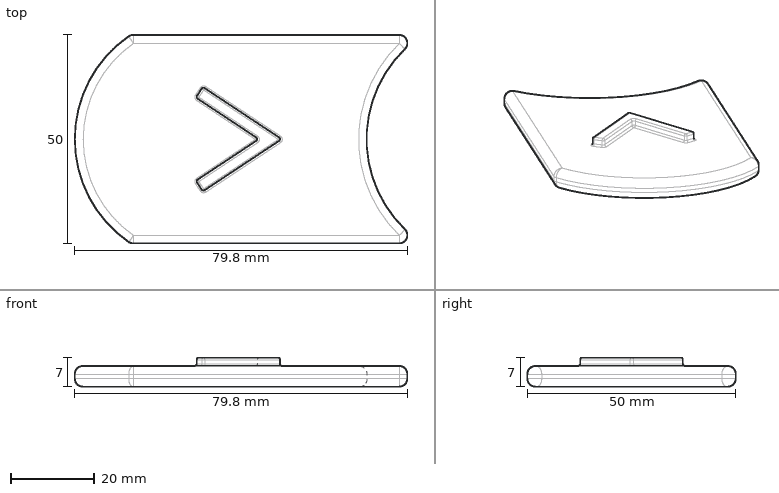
import cadquery as cq
import math

LENGTH = 79.75
WIDTH = 50.0
THICKNESS = 5.0
EDGE_RADIUS = 2.0
END_RADIUS = 30.0

CHEVRON_HEIGHT = 2.0
CHEVRON_TIP_X = 49.6
CHEVRON_ANGLE = 33.5
ARM_LENGTH = 22.65
ARM_WIDTH = 3.0
CHEVRON_FILLET = 0.5


def make_plate():
    """Round the plate by offsetting a sharp-cornered core, then fillet its rims."""
    half_width = WIDTH / 2 - EDGE_RADIUS
    convex_radius = END_RADIUS - EDGE_RADIUS
    concave_radius = END_RADIUS + EDGE_RADIUS
    left_apex = EDGE_RADIUS
    left_corner = END_RADIUS - math.sqrt(convex_radius**2 - half_width**2)
    right_corner = LENGTH - EDGE_RADIUS
    concave_center = right_corner + math.sqrt(concave_radius**2 - half_width**2)
    right_apex = concave_center - concave_radius

    return (
        cq.Workplane("XY")
        .moveTo(left_corner, -half_width)
        .lineTo(right_corner, -half_width)
        .threePointArc((right_apex, 0), (right_corner, half_width))
        .lineTo(left_corner, half_width)
        .threePointArc((left_apex, 0), (left_corner, -half_width))
        .close()
        .offset2D(EDGE_RADIUS, "arc")
        .extrude(THICKNESS)
        .faces("|Z")
        .edges()
        .fillet(EDGE_RADIUS)
    )


def make_chevron():
    """Two square-ended arms that meet at the tip, standing on the plate."""
    angle = math.radians(CHEVRON_ANGLE)
    outer_x = CHEVRON_TIP_X - ARM_LENGTH * math.cos(angle)
    outer_y = ARM_LENGTH * math.sin(angle)
    inner_x = outer_x - ARM_WIDTH * math.sin(angle)
    inner_y = outer_y - ARM_WIDTH * math.cos(angle)
    notch_x = CHEVRON_TIP_X - ARM_WIDTH / math.sin(angle)

    upper_arm = [(CHEVRON_TIP_X, 0), (outer_x, outer_y), (inner_x, inner_y), (notch_x, 0)]
    lower_arm = [(inner_x, -inner_y), (outer_x, -outer_y)]
    return (
        cq.Workplane("XY", origin=(0, 0, THICKNESS))
        .polyline(upper_arm + lower_arm)
        .close()
        .extrude(CHEVRON_HEIGHT)
    )


def round_chevron(body):
    """Round the chevron's top and vertical edges and blend its foot into the plate."""
    slack = 0.1
    chevron_zone = cq.selectors.BoxSelector(
        (CHEVRON_TIP_X - ARM_LENGTH, -ARM_LENGTH, THICKNESS - slack),
        (CHEVRON_TIP_X + slack, ARM_LENGTH, THICKNESS + CHEVRON_HEIGHT + slack),
        boundingbox=True,
    )
    return body.edges(chevron_zone).fillet(CHEVRON_FILLET)


result = round_chevron(make_plate().union(make_chevron()))